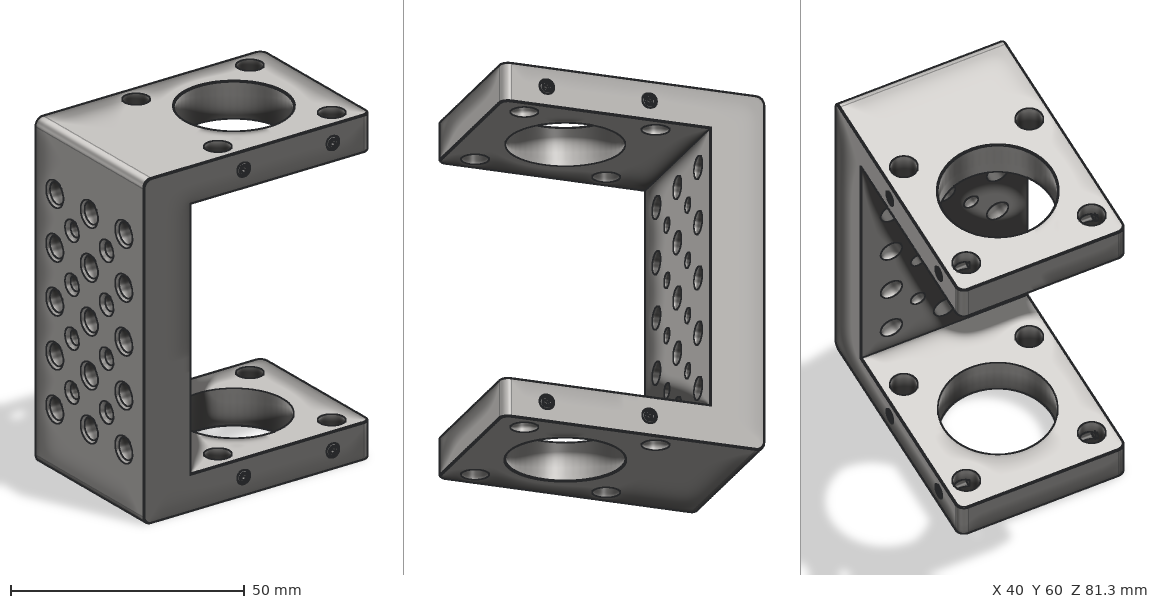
import cadquery as cq

width = 40.0
depth = 60.0
height = 81.3
arm_thickness = 8.95
web_thickness = 12.5
corner_radius = 2.0
edge_chamfer = 0.25

bore_diameter = 25.7
bore_chamfer = 0.25
bore_setback = 21.9
rod_hole_diameter = 6.0
rod_hole_pitch = 30.0

grid_pitch = 12.7
large_columns = 3
large_rows = 5
large_hole_diameter = 5.1
large_sink_diameter = 6.3
small_hole_diameter = 3.4
small_sink_diameter = 5.1

screw_diameter = 3.0
screw_pilot_diameter = 2.5
screw_pilot_depth = 7.0
screw_length = 3.0
screw_chamfer = 0.4
screw_pitch = 23.5
screw_sink_diameter = 3.4
socket_sides = 6
socket_across_flats = 1.3
socket_depth = 1.2

front_y = -depth / 2
end_y = depth / 2
bore_y = end_y - bore_setback
arm_z = (height - arm_thickness) / 2
screw_places = [
    (bore_y + y_side * screw_pitch / 2, z_side * arm_z)
    for y_side in (-1, 1)
    for z_side in (-1, 1)
]


def make_blank():
    """C-shaped block with rounded outer corners and softened edges."""
    block = cq.Workplane("XY").box(width, depth, height)
    block = block.edges("<Y and |X").fillet(corner_radius)
    opening_depth = depth - web_thickness
    opening = cq.Workplane("XY").box(width, opening_depth, height - 2 * arm_thickness)
    block = block.cut(opening.translate((0, web_thickness / 2, 0)))
    block = block.edges(">Y and |Z").fillet(corner_radius)
    return block.faces("<X or >X or >Y").edges().chamfer(edge_chamfer)


def cut_arm_holes(body):
    """Bore and four rod holes, running in line through both arms."""
    centre = cq.Workplane("XY").workplane(offset=-height / 2).center(0, bore_y)
    bore = centre.circle(bore_diameter / 2).extrude(height)
    rod_holes = (
        centre.rarray(rod_hole_pitch, rod_hole_pitch, 2, 2)
        .circle(rod_hole_diameter / 2)
        .extrude(height)
    )
    body = body.cut(bore).cut(rod_holes)
    rim = cq.selectors.RadiusNthSelector(-1)
    return body.faces("<Z or >Z").edges("%CIRCLE").edges(rim).chamfer(bore_chamfer)


def sink_cone(hole, sink):
    """90-degree countersink cutter along +Z, its wide end on the origin."""
    sink_depth = (sink - hole) / 2
    return cq.Solid.makeCone(sink / 2, hole / 2, sink_depth)


def cut_web_holes(body):
    """Large grid of countersunk holes, with smaller ones midway between them."""
    face = cq.Workplane(cq.Plane(origin=(0, front_y, 0), xDir=(1, 0, 0), normal=(0, 1, 0)))
    large = (large_hole_diameter, large_sink_diameter, large_columns, large_rows)
    small = (small_hole_diameter, small_sink_diameter, large_columns - 1, large_rows - 1)
    for hole, sink, columns, rows in (large, small):
        grid = face.rarray(grid_pitch, grid_pitch, columns, rows)
        cone = sink_cone(hole, sink)
        body = body.cut(grid.circle(hole / 2).extrude(web_thickness))
        body = body.cut(grid.eachpoint(lambda place: cone.moved(place), useLocalCoordinates=True))
    return body


def side_face(side):
    """Workplane on the -X (side = -1) or +X face, its normal pointing into the bracket."""
    return cq.Workplane(cq.Plane(origin=(side * width / 2, 0, 0), xDir=(0, 1, 0), normal=(-side, 0, 0)))


def cut_screw_holes(body):
    """Countersunk screw seats in the side faces, with narrower pilot holes into the rod holes."""
    cone = sink_cone(screw_diameter, screw_sink_diameter)
    for side in (-1, 1):
        places = side_face(side).pushPoints(screw_places)
        body = body.cut(places.circle(screw_pilot_diameter / 2).extrude(screw_pilot_depth))
        body = body.cut(places.circle(screw_diameter / 2).extrude(screw_length))
        body = body.cut(places.eachpoint(lambda place: cone.moved(place), useLocalCoordinates=True))
    return body


def make_set_screw():
    """Headless screw along +Z with chamfered ends and a hexagon socket in the end on the origin."""
    screw = cq.Workplane("XY").circle(screw_diameter / 2).extrude(screw_length)
    screw = screw.edges().chamfer(screw_chamfer)
    socket = cq.Workplane("XY").polygon(socket_sides, socket_across_flats, circumscribed=True)
    socket = socket.extrude(socket_depth)
    return screw.cut(socket).val()


bracket = cut_screw_holes(cut_web_holes(cut_arm_holes(make_blank())))

set_screw = make_set_screw()
set_screws = []
for side in (-1, 1):
    places = side_face(side).pushPoints(screw_places)
    set_screws += places.eachpoint(lambda place: set_screw.moved(place), useLocalCoordinates=True).vals()

result = cq.Compound.makeCompound([bracket.val(), *set_screws])